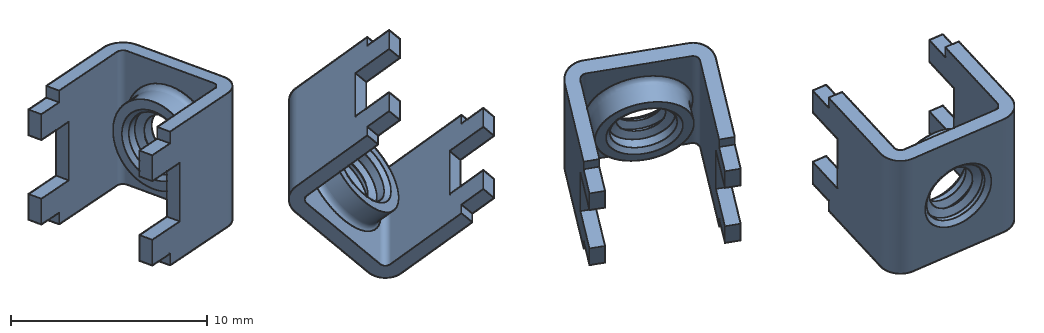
import cadquery as cq

WIDTH = 7.87
HEIGHT = 7.87
DEPTH = 7.67
SHEET = 0.82
BEND_OUTER_RADIUS = 1.2
BEND_INNER_RADIUS = BEND_OUTER_RADIUS - SHEET

LEG_LENGTH = 1.52
LEG_HEIGHT = 1.52
LEG_INSET = 0.69
NOTCH_DEPTH = 2.35

COLLAR_RADIUS = 2.57
COLLAR_TIP = 2.28
COLLAR_FLARE_RADIUS = 2.81
COLLAR_FLARE_LENGTH = 0.37

BORE_RADIUS = 1.75
CHAMFER = 0.25
CREST_RADIUS = 1.29
CREST_HALF_WIDTH = 0.2
FIRST_CREST_DEPTH = 0.96
CREST_PITCH = 0.64
CREST_COUNT = 2

BACK_Y = DEPTH / 2
FRONT_Y = -DEPTH / 2


def bent_sheet():
    """U-shaped sheet, open towards -Y, with rounded bends at the back."""
    outside = (
        cq.Workplane("XY")
        .box(WIDTH, DEPTH, HEIGHT)
        .edges("|Z and >Y")
        .fillet(BEND_OUTER_RADIUS)
    )
    inside = (
        cq.Workplane("XY")
        .box(WIDTH - 2 * SHEET, DEPTH, HEIGHT)
        .edges("|Z and >Y")
        .fillet(BEND_INNER_RADIUS)
        .translate((0, -SHEET, 0))
    )
    return outside.cut(inside)


def edge_cutter(depth, z_low, z_high):
    """Block that trims both side walls back from their free edge."""
    return (
        cq.Workplane("XY")
        .box(WIDTH, depth, z_high - z_low, centered=(True, False, False))
        .translate((0, FRONT_Y, z_low))
    )


def cut_legs(body):
    """Leave two legs on each side wall, with a deeper gap between them."""
    top = HEIGHT / 2
    leg_outer = top - LEG_INSET
    leg_inner = leg_outer - LEG_HEIGHT
    body = body.cut(edge_cutter(LEG_LENGTH, leg_outer, top))
    body = body.cut(edge_cutter(LEG_LENGTH, -top, -leg_outer))
    return body.cut(edge_cutter(NOTCH_DEPTH, -leg_inner, leg_inner))


def revolve_about_hole(profile):
    """Turn an XY profile, with X as the radius, around the hole axis."""
    return profile.close().revolve(360, (0, 0, 0), (0, 1, 0))


def collar():
    """Round collar that flares out where it meets the back wall."""
    wall_y = BACK_Y - SHEET
    tip_y = BACK_Y - COLLAR_TIP
    return revolve_about_hole(
        cq.Workplane("XY")
        .moveTo(0, tip_y)
        .lineTo(COLLAR_RADIUS, tip_y)
        .lineTo(COLLAR_RADIUS, wall_y - COLLAR_FLARE_LENGTH)
        .tangentArcPoint((COLLAR_FLARE_RADIUS, wall_y), relative=False)
        .lineTo(0, wall_y)
    )


def screw_hole():
    """Bore chamfered at both ends, narrowed by sharp ring-shaped crests."""
    tip_y = BACK_Y - COLLAR_TIP
    mouth_radius = BORE_RADIUS + CHAMFER
    profile = (
        cq.Workplane("XY")
        .moveTo(0, tip_y)
        .lineTo(mouth_radius, tip_y)
        .lineTo(BORE_RADIUS, tip_y + CHAMFER)
    )
    for index in range(CREST_COUNT):
        crest_y = tip_y + FIRST_CREST_DEPTH + index * CREST_PITCH
        profile = (
            profile.lineTo(BORE_RADIUS, crest_y - CREST_HALF_WIDTH)
            .lineTo(CREST_RADIUS, crest_y)
            .lineTo(BORE_RADIUS, crest_y + CREST_HALF_WIDTH)
        )
    profile = (
        profile.lineTo(BORE_RADIUS, BACK_Y - CHAMFER)
        .lineTo(mouth_radius, BACK_Y)
        .lineTo(0, BACK_Y)
    )
    return revolve_about_hole(profile)


result = cut_legs(bent_sheet()).union(collar()).cut(screw_hole())